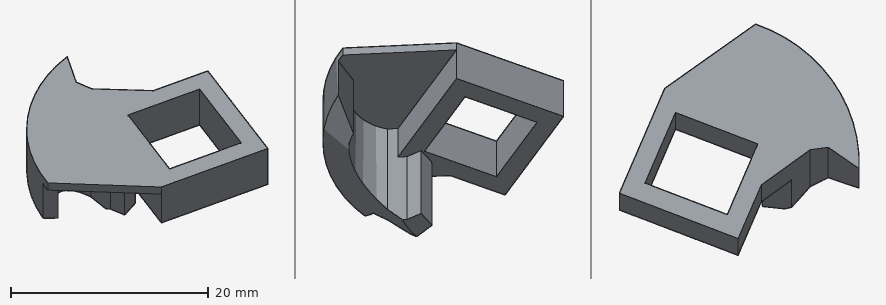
import cadquery as cq
import math


window_x = 9.0
window_y = 8.2
wall = 2.0
frame_x = window_x + 2 * wall
frame_y = window_y + 2 * wall
frame_depth = 5.0

outer_radius = 16.0
plate_depth = 1.0
cylinder_depth = 5.75
total_depth = 13.8
bottom_radius = 8.46

frame_left = -frame_x / 2
frame_right = frame_x / 2
frame_back = frame_y / 2
frame_front = -frame_y / 2
plate_front_x = 0.57
body_front_x = -0.45
tip_x = -15.03
notch_corner = (-11.25, -6.45)
neck_corner = (-9.65, -5.52)
neck_top = (frame_left, -0.13)

post_left_y = -3.47
neck_run_per_rise = (neck_corner[0] - neck_top[0]) / (neck_corner[1] - neck_top[1])
post_left = (neck_top[0] + neck_run_per_rise * (post_left_y - neck_top[1]), post_left_y)
post_back = (-5.6, -2.67)
post_right = (-4.55, -4.46)
post_inner = (-6.01, -5.33)

hollow_centre = (-2.1, -8.22)
hollow_radius = 5.08
hollow_start_angle = 166
hollow_end_angle = 268


def on_rim(x):
    """Point at x on the front half of the outer circle."""
    return (x, -math.sqrt(outer_radius**2 - x**2))


def on_hollow(angle):
    """Point on the concave inner side at an angle in degrees from +X."""
    turn = math.radians(angle)
    return (
        hollow_centre[0] + hollow_radius * math.cos(turn),
        hollow_centre[1] + hollow_radius * math.sin(turn),
    )


tip = on_rim(tip_x)


def rim_middle(end_x):
    """Point on the outer circle between the tip and end_x."""
    return on_rim((tip_x + end_x) / 2)


def make_plate():
    """Thin top plate covering the whole outline."""
    return (
        cq.Workplane("XY")
        .moveTo(frame_left, frame_back)
        .lineTo(frame_right, frame_back)
        .lineTo(frame_right, frame_front)
        .lineTo(*on_rim(plate_front_x))
        .threePointArc(rim_middle(plate_front_x), tip)
        .lineTo(*notch_corner)
        .lineTo(*neck_corner)
        .lineTo(*neck_top)
        .close()
        .extrude(-plate_depth)
    )


def make_frame():
    """Rectangular frame with the gusset that ties it to the post."""
    frame = cq.Workplane("XY").rect(frame_x, frame_y).extrude(-frame_depth)
    gusset = cq.Workplane("XY").polyline([neck_top, neck_corner, post_back]).close().extrude(-frame_depth)
    return frame.union(gusset)


def make_body():
    """Curved body and post, trimmed to a cylinder over a narrowing cone."""
    column = (
        cq.Workplane("XY")
        .moveTo(*tip)
        .threePointArc(rim_middle(body_front_x), on_rim(body_front_x))
        .lineTo(*on_hollow(hollow_end_angle))
        .threePointArc(
            on_hollow((hollow_start_angle + hollow_end_angle) / 2),
            on_hollow(hollow_start_angle),
        )
        .lineTo(*post_inner)
        .lineTo(*post_right)
        .lineTo(*post_back)
        .lineTo(*post_left)
        .lineTo(*neck_corner)
        .lineTo(*notch_corner)
        .close()
        .extrude(-total_depth)
    )
    envelope = (
        cq.Workplane("XZ")
        .polyline([
            (0, 0),
            (outer_radius, 0),
            (outer_radius, -cylinder_depth),
            (bottom_radius, -total_depth),
            (0, -total_depth),
        ])
        .close()
        .revolve(360, (0, 0), (0, 1))
    )
    return column.intersect(envelope)


window = cq.Workplane("XY").rect(window_x, window_y).extrude(-total_depth)
result = make_plate().union(make_frame()).union(make_body()).cut(window).clean()